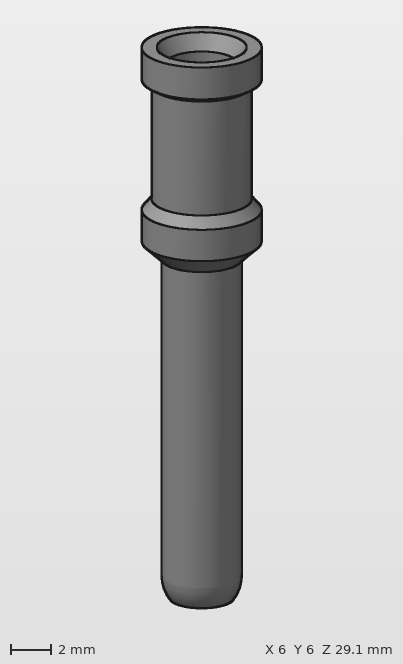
import cadquery as cq
import math

LENGTH = 29.1
COLLAR_RADIUS = 3.0
NECK_RADIUS = 2.5
PIN_RADIUS = 2.0

TOP_COLLAR_HEIGHT = 1.7
TOP_CONE_HEIGHT = 0.3
NECK_END_DEPTH = 8.0
LOWER_CONE_HEIGHT = 0.58
LOWER_COLLAR_HEIGHT = 1.65
SHOULDER_HEIGHT = 0.93

TIP_HEIGHT = 1.2
TIP_END_RADIUS = math.sqrt(PIN_RADIUS**2 - TIP_HEIGHT**2)

BORE_RADIUS = 1.75
MOUTH_RADIUS = 2.25
MOUTH_DEPTH = 0.85
BORE_DEPTH = NECK_END_DEPTH
DRILL_POINT_ANGLE = 120.0


def make_body():
    """Revolve the outer outline of the pin."""
    collar_bottom = LENGTH - TOP_COLLAR_HEIGHT
    neck_top = collar_bottom - TOP_CONE_HEIGHT
    neck_bottom = LENGTH - NECK_END_DEPTH
    lower_collar_top = neck_bottom - LOWER_CONE_HEIGHT
    lower_collar_bottom = lower_collar_top - LOWER_COLLAR_HEIGHT
    pin_top = lower_collar_bottom - SHOULDER_HEIGHT
    return (
        cq.Workplane("XZ")
        .lineTo(0, LENGTH)
        .lineTo(COLLAR_RADIUS, LENGTH)
        .lineTo(COLLAR_RADIUS, collar_bottom)
        .lineTo(NECK_RADIUS, neck_top)
        .lineTo(NECK_RADIUS, neck_bottom)
        .lineTo(COLLAR_RADIUS, lower_collar_top)
        .lineTo(COLLAR_RADIUS, lower_collar_bottom)
        .lineTo(PIN_RADIUS, pin_top)
        .lineTo(PIN_RADIUS, TIP_HEIGHT)
        .tangentArcPoint((TIP_END_RADIUS, 0), relative=False)
        .close()
        .revolve(360, (0, 0), (0, 1))
    )


def make_bore():
    """Revolve the hollow of the crimp end, from its mouth down to the drill point."""
    mouth_bottom = LENGTH - MOUTH_DEPTH
    bore_bottom = LENGTH - BORE_DEPTH
    drill_point_height = BORE_RADIUS / math.tan(math.radians(DRILL_POINT_ANGLE / 2))
    return (
        cq.Workplane("XZ")
        .moveTo(0, LENGTH)
        .lineTo(MOUTH_RADIUS, LENGTH)
        .lineTo(BORE_RADIUS, mouth_bottom)
        .lineTo(BORE_RADIUS, bore_bottom)
        .lineTo(0, bore_bottom - drill_point_height)
        .close()
        .revolve(360, (0, 0), (0, 1))
    )


result = make_body().cut(make_bore())